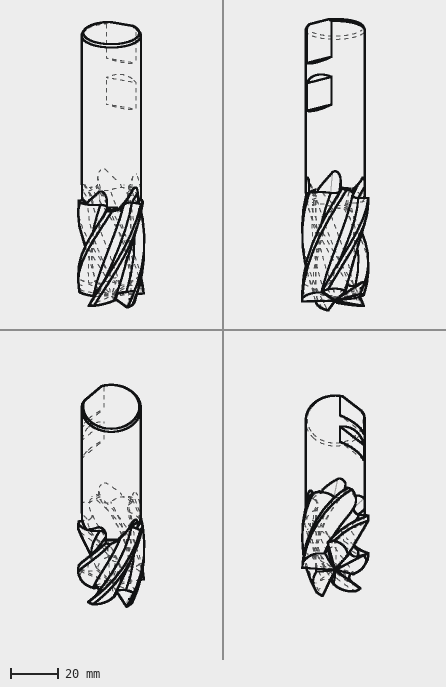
import cadquery as cq
import math


TOTAL_LENGTH = 121.0
CUTTER_DIAMETER = 28.0
CUTTER_RADIUS = CUTTER_DIAMETER / 2
CUTTING_LENGTH = 45.0
SHANK_DIAMETER = 25.0
SHANK_RADIUS = SHANK_DIAMETER / 2

FLUTES = 5
PITCH = 360 / FLUTES
HELIX_ANGLE = 30.0
FIRST_TOOTH_ANGLE = -37.7
LAND_ANGLE = 9.4
BACK_RADIUS = 12.2
BACK_ANGLE = 23.2
HEEL_RADIUS = 8.5
HEEL_ANGLE = 47.5
CORE_RADIUS = 8.2
CORE_ANGLE = 60.9
RAKE_ROOT_RADIUS = 9.8
RAKE_ROOT_ANGLE = 71.3
TWIST = math.degrees(CUTTING_LENGTH * math.tan(math.radians(HELIX_ANGLE)) / CUTTER_RADIUS)

RELIEF_ANGLE = 14.0
GASH_WALL_ANGLE = 28.0
GASH_ROOF_ANGLE = 29.0
GASH_ROOF_TURN = -20.6
GASH_CENTRE_HEIGHT = 0.6
GASH_HEIGHT = 10.9
GASH_HEEL_GAP = 3.0

RUNOUT_ANGLE = 28.7
RUNOUT_HEIGHT = 14.5
RUNOUT_OUTER_RADIUS = 1.5 * CUTTER_RADIUS

NECK_HEIGHT = 1.1
NECK_STEP = 0.4
TOP_CHAMFER_HEIGHT = 1.2
TOP_CHAMFER_STEP = 0.7
FLAT_DISTANCE = 10.5
FLAT_END_RUN = 1.7
END_FLAT_LENGTH = 17.0
MIDDLE_FLAT_START = 25.9
MIDDLE_FLAT_END = 38.1

REACH = 2 * CUTTER_RADIUS
MARGIN = 1.2


def polar(radius, angle):
    """Point at a polar angle in degrees."""
    return radius * math.cos(math.radians(angle)), radius * math.sin(math.radians(angle))


def add_flute_walls(outline, tooth):
    """From the back of a tooth's land, along its back and the flute floor, to the next cutting edge."""
    return (
        outline.threePointArc(polar(BACK_RADIUS, tooth + BACK_ANGLE), polar(HEEL_RADIUS, tooth + HEEL_ANGLE))
        .threePointArc(polar(CORE_RADIUS, tooth + CORE_ANGLE), polar(RAKE_ROOT_RADIUS, tooth + RAKE_ROOT_ANGLE))
        .lineTo(*polar(CUTTER_RADIUS, tooth + PITCH))
    )


def fluted_blank():
    """Helical cutting head before its end is ground."""
    outline = cq.Workplane("XY").moveTo(*polar(CUTTER_RADIUS, FIRST_TOOTH_ANGLE))
    for i in range(FLUTES):
        tooth = FIRST_TOOTH_ANGLE + i * PITCH
        outline = outline.threePointArc(
            polar(CUTTER_RADIUS, tooth + LAND_ANGLE / 2), polar(CUTTER_RADIUS, tooth + LAND_ANGLE)
        )
        outline = add_flute_walls(outline, tooth)
    return outline.close().twistExtrude(CUTTING_LENGTH, TWIST)


def helical_sector(start, end):
    """Body between two plan angles at the cutting end, turning upward with the flutes."""
    return (
        cq.Workplane("XY")
        .polyline([(0, 0), polar(REACH, start), polar(REACH, end)])
        .close()
        .twistExtrude(GASH_HEIGHT, TWIST * GASH_HEIGHT / CUTTING_LENGTH)
    )


def end_relief():
    """Material below the end face of a tooth along +X, which rises behind its cutting edge."""
    rise = REACH * math.tan(math.radians(RELIEF_ANGLE))
    wedge = (
        cq.Workplane("YZ")
        .polyline([(0, 0), (REACH, rise), (REACH, -MARGIN), (0, -MARGIN)])
        .close()
        .extrude(REACH)
    )
    return wedge.intersect(helical_sector(0, PITCH))


def end_gash():
    """Notch ground in front of a tooth along +X, between its leaning wall and a sloping roof."""
    lean = math.tan(math.radians(GASH_WALL_ANGLE))
    before_wall = (
        cq.Workplane("YZ")
        .polyline([
            (-REACH, -MARGIN),
            (0, -MARGIN),
            (0, 0),
            (lean * GASH_HEIGHT, GASH_HEIGHT),
            (-REACH, GASH_HEIGHT),
        ])
        .close()
        .extrude(REACH)
    )
    roof_rise = REACH * math.tan(math.radians(GASH_ROOF_ANGLE))
    below_roof = (
        cq.Workplane("XZ")
        .polyline([
            (0, -MARGIN),
            (REACH, -MARGIN),
            (REACH, GASH_CENTRE_HEIGHT + roof_rise),
            (0, GASH_CENTRE_HEIGHT),
        ])
        .close()
        .extrude(REACH, both=True)
        .rotate((0, 0, 0), (0, 0, 1), GASH_ROOF_TURN)
    )
    heel = HEEL_ANGLE - PITCH
    return before_wall.intersect(below_roof).intersect(helical_sector(heel + GASH_HEEL_GAP, HEEL_ANGLE))


def cutting_head():
    """Fluted head with every tooth's end relieved and gashed."""
    head = fluted_blank()
    for i in range(FLUTES):
        tooth = FIRST_TOOTH_ANGLE + i * PITCH
        head = head.cut(end_relief().rotate((0, 0, 0), (0, 0, 1), tooth))
        head = head.cut(end_gash().rotate((0, 0, 0), (0, 0, 1), tooth))
    return head


def shank_blank():
    """Turned shank with a tapered neck at the head and a chamfered free end."""
    return (
        cq.Workplane("YZ")
        .polyline([
            (0, CUTTING_LENGTH),
            (-SHANK_RADIUS + NECK_STEP, CUTTING_LENGTH),
            (-SHANK_RADIUS, CUTTING_LENGTH + NECK_HEIGHT),
            (-SHANK_RADIUS, TOTAL_LENGTH - TOP_CHAMFER_HEIGHT),
            (-SHANK_RADIUS + TOP_CHAMFER_STEP, TOTAL_LENGTH),
            (0, TOTAL_LENGTH),
        ])
        .close()
        .revolve(360, (0, 0, 0), (0, 1, 0))
    )


def flute_runout(tooth):
    """Flute continued above the head, sliding outward along the next tooth's rake face."""
    outline = cq.Workplane("XY", origin=(0, 0, CUTTING_LENGTH)).moveTo(
        *polar(CUTTER_RADIUS, tooth + LAND_ANGLE)
    )
    wire = (
        add_flute_walls(outline, tooth)
        .lineTo(*polar(RUNOUT_OUTER_RADIUS, tooth + PITCH))
        .lineTo(*polar(RUNOUT_OUTER_RADIUS, tooth + LAND_ANGLE))
        .close()
        .val()
    )
    outward = polar(RUNOUT_HEIGHT * math.tan(math.radians(RUNOUT_ANGLE)), tooth + PITCH)
    return cq.Workplane(cq.Solid.extrudeLinear(wire, [], cq.Vector(*outward, RUNOUT_HEIGHT)))


def clamping_flat(low, high, low_run, high_run):
    """Cut on the +Y side down to the clamping flat, with ends that open outward."""
    depth = SHANK_RADIUS - FLAT_DISTANCE
    return (
        cq.Workplane("YZ")
        .polyline([
            (FLAT_DISTANCE, low),
            (FLAT_DISTANCE + depth, low - low_run),
            (FLAT_DISTANCE + depth, high + high_run),
            (FLAT_DISTANCE, high),
        ])
        .close()
        .extrude(SHANK_RADIUS, both=True)
    )


def weldon_shank():
    """Shank with the flute run-outs and the two clamping flats."""
    shank = shank_blank()
    for i in range(FLUTES):
        shank = shank.cut(flute_runout(FIRST_TOOTH_ANGLE + TWIST + i * PITCH))
    end_flat = clamping_flat(TOTAL_LENGTH - END_FLAT_LENGTH, TOTAL_LENGTH, FLAT_END_RUN, 0)
    middle_flat = clamping_flat(
        TOTAL_LENGTH - MIDDLE_FLAT_END, TOTAL_LENGTH - MIDDLE_FLAT_START, FLAT_END_RUN, FLAT_END_RUN
    )
    return shank.cut(end_flat).cut(middle_flat)


result = cq.Compound.makeCompound([cutting_head().val(), weldon_shank().val()])